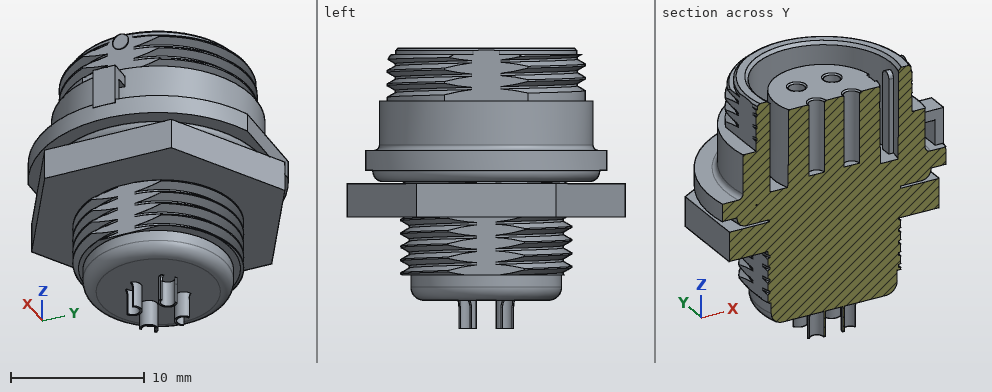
import cadquery as cq
import math

CAP_BOTTOM_Z = 2.12
REAR_THREAD_BOTTOM_Z = 4.0
NUT_BOTTOM_Z = 8.35
SHOULDER_BOTTOM_Z = 11.0
FLANGE_BOTTOM_Z = 11.85
FLANGE_TOP_Z = 13.35
NECK_TOP_Z = 17.05
INSERT_TOP_Z = 19.85
TOP_Z = 21.0

CAP_DIAMETER = 11.3
CAP_FILLET = 1.0

NUT_THICKNESS = 2.5
NUT_CORNER_DIAMETER = 20.84
NUT_SIDES = 6

SHOULDER_DIAMETER = 17.0
SHOULDER_FILLET = 0.8
FLANGE_DIAMETER = 19.5
FLANGE_FLATS_WIDTH = 18.05
NECK_DIAMETER = 16.0
NECK_FILLET = 0.4

THREAD_PITCH = 1.0
GROOVE_ROOT_WIDTH = 0.17
FLANK_ANGLE = 30
FLANK_SLOPE = math.tan(math.radians(FLANK_ANGLE))
GROOVE_OVERCUT = 0.05
REAR_THREAD_DIAMETER = 12.8
REAR_ROOT_DIAMETER = 11.54
REAR_FLATS_WIDTH = 11.45
REAR_GROOVE_START_Z = 3.38
FRONT_THREAD_DIAMETER = 14.85
FRONT_ROOT_DIAMETER = 13.64
FRONT_RELIEF_DIAMETER = 13.6
FRONT_FLATS_WIDTH = 13.46
FRONT_GROOVE_START_Z = 17.5
FRONT_RELIEF_BOTTOM_Z = 20.53
FRONT_CREST_END_DIAMETER = 14.3
FRONT_CHAMFER = 0.2

SOCKET_DIAMETER = 11.4
SOCKET_MOUTH_DIAMETER = 11.9
SOCKET_FLOOR_Z = FLANGE_TOP_Z
INSERT_DIAMETER = 8.6
INSERT_TOP_DIAMETER = 8.46
INSERT_NOTCH_WIDTH = 1.2
INSERT_NOTCH_DEPTH = 0.3
INSERT_NOTCH_HEIGHT = 1.0

KEY_WIDTH = 0.96
KEY_HEIGHT = 0.42
KEY_TOP_Z = 20.1

MARK_DIAMETER = 1.3
MARK_HEIGHT = 0.07

CONTACT_OFFSET = 1.51
CONTACT_DIAMETER = 1.3
CONTACT_MOUTH_DIAMETER = 1.54
CONTACT_MOUTH_ANGLE = 90
CONTACT_DEPTH = 6.0
CUP_OFFSET = 1.44
CUP_DIAMETER = 1.4
CUP_BORE_DIAMETER = 1.1
CUP_OPENING_OFFSET = 0.2
CUP_OPENING_STRAIGHT = 1.6
CUP_OPENING_END_DIAMETER = 2.2

HOOK_WIDTH = 1.84
HOOK_TOP_Z = 16.35
HOOK_ARM_HEIGHT = 0.88
HOOK_POST_THICKNESS = 0.73

OVERLAP = 0.3


def cylinder(diameter, bottom_z, top_z):
    """Upright cylinder on the Z axis."""
    return cq.Workplane("XY").workplane(offset=bottom_z).circle(diameter / 2).extrude(top_z - bottom_z)


def box(x_range, y_width, z_range):
    """Block between two X and two Z positions, centred on Y = 0."""
    length = x_range[1] - x_range[0]
    height = z_range[1] - z_range[0]
    block = cq.Workplane("XY").box(length, y_width, height, centered=(False, True, False))
    return block.translate((x_range[0], 0, z_range[0]))


def helical_groove(thread_diameter, root_diameter, start_z, turns):
    """Right-handed V groove cutter that starts on the +X side."""
    root_radius = root_diameter / 2
    outer_radius = thread_diameter / 2 + GROOVE_OVERCUT
    root_half = GROOVE_ROOT_WIDTH / 2
    outer_half = root_half + (outer_radius - root_radius) * FLANK_SLOPE
    path = cq.Wire.makeHelix(THREAD_PITCH, turns * THREAD_PITCH, root_radius)
    profile = cq.Workplane("XZ").polyline([
        (root_radius, -root_half),
        (outer_radius, -outer_half),
        (outer_radius, outer_half),
        (root_radius, root_half),
    ]).close()
    return profile.sweep(cq.Workplane(obj=path), isFrenet=True).translate((0, 0, start_z))


def threaded_rod(thread_diameter, root_diameter, groove_start_z, bottom_z, top_z):
    """Rod between two heights, cut from a longer blank so that the groove ends lie inside the blank."""
    turns = math.ceil((top_z - groove_start_z) / THREAD_PITCH) + 1
    blank_bottom = min(bottom_z, groove_start_z) - 2 * THREAD_PITCH
    blank_top = groove_start_z + (turns + 2) * THREAD_PITCH
    blank = cylinder(thread_diameter, blank_bottom, blank_top)
    groove = helical_groove(thread_diameter, root_diameter, groove_start_z, turns)
    slab = box((-thread_diameter, thread_diameter), 2 * thread_diameter, (bottom_z, top_z))
    return blank.cut(groove).intersect(slab)


def rear_thread():
    bottom, top = REAR_THREAD_BOTTOM_Z, SHOULDER_BOTTOM_Z
    rod = threaded_rod(REAR_THREAD_DIAMETER, REAR_ROOT_DIAMETER, REAR_GROOVE_START_Z, bottom, top)
    half_width = REAR_FLATS_WIDTH / 2
    return rod.intersect(box((-half_width, half_width), REAR_THREAD_DIAMETER, (bottom, top)))


def crest_cone():
    """Cone that bevels the crest at the front end of the front thread."""
    height = FRONT_RELIEF_BOTTOM_Z - NECK_TOP_Z
    base_radius = FRONT_CREST_END_DIAMETER / 2 + height * FLANK_SLOPE
    base = cq.Workplane("XY").workplane(offset=NECK_TOP_Z).circle(base_radius)
    return base.extrude(height, taper=FLANK_ANGLE)


def front_thread():
    rod = threaded_rod(
        FRONT_THREAD_DIAMETER,
        FRONT_ROOT_DIAMETER,
        FRONT_GROOVE_START_Z,
        NECK_TOP_Z,
        FRONT_RELIEF_BOTTOM_Z,
    )
    rod = rod.intersect(crest_cone())
    core = cylinder(FRONT_RELIEF_DIAMETER, NECK_TOP_Z, TOP_Z).faces(">Z").chamfer(FRONT_CHAMFER)
    half_width = FRONT_FLATS_WIDTH / 2
    flats = box((-half_width, half_width), FRONT_THREAD_DIAMETER, (NECK_TOP_Z, TOP_Z))
    mark = (
        cq.Workplane("YZ", origin=(half_width - OVERLAP, 0, TOP_Z - MARK_DIAMETER / 2))
        .circle(MARK_DIAMETER / 2)
        .extrude(OVERLAP + MARK_HEIGHT)
    )
    return rod.union(core).intersect(flats).union(mark)


def rear_cap():
    cap = cylinder(CAP_DIAMETER, CAP_BOTTOM_Z, REAR_THREAD_BOTTOM_Z)
    return cap.faces("<Z").edges().fillet(CAP_FILLET)


def nut():
    hexagon = cq.Workplane("XY").workplane(offset=NUT_BOTTOM_Z).polygon(NUT_SIDES, NUT_CORNER_DIAMETER)
    return hexagon.extrude(NUT_THICKNESS).rotate((0, 0, 0), (0, 0, 1), 180 / NUT_SIDES)


def flange_and_neck():
    shoulder = cylinder(SHOULDER_DIAMETER, SHOULDER_BOTTOM_Z, FLANGE_TOP_Z)
    shoulder = shoulder.faces("<Z").edges().fillet(SHOULDER_FILLET)
    flats = box(
        (-FLANGE_DIAMETER / 2, FLANGE_DIAMETER / 2),
        FLANGE_FLATS_WIDTH,
        (FLANGE_BOTTOM_Z, FLANGE_TOP_Z),
    )
    flange = cylinder(FLANGE_DIAMETER, FLANGE_BOTTOM_Z, FLANGE_TOP_Z).intersect(flats)
    neck_radius = NECK_DIAMETER / 2
    neck = (
        cq.Workplane("XZ")
        .moveTo(0, FLANGE_TOP_Z)
        .lineTo(neck_radius + NECK_FILLET, FLANGE_TOP_Z)
        .radiusArc((neck_radius, FLANGE_TOP_Z + NECK_FILLET), NECK_FILLET)
        .lineTo(neck_radius, NECK_TOP_Z)
        .lineTo(0, NECK_TOP_Z)
        .close()
        .revolve(360, (0, 0), (0, 1))
    )
    return shoulder.union(flange).union(neck)


def hook():
    outer_x = FLANGE_DIAMETER / 2
    arm = box(
        (NECK_DIAMETER / 2 - OVERLAP, outer_x),
        HOOK_WIDTH,
        (HOOK_TOP_Z - HOOK_ARM_HEIGHT, HOOK_TOP_Z),
    )
    post = box((outer_x - HOOK_POST_THICKNESS, outer_x), HOOK_WIDTH, (FLANGE_TOP_Z - OVERLAP, HOOK_TOP_Z))
    return arm.union(post)


def socket():
    """Cutter for the blind bore with its 45 degree mouth chamfer."""
    bore_radius = SOCKET_DIAMETER / 2
    mouth_radius = SOCKET_MOUTH_DIAMETER / 2
    return (
        cq.Workplane("XZ")
        .moveTo(0, SOCKET_FLOOR_Z)
        .lineTo(bore_radius, SOCKET_FLOOR_Z)
        .lineTo(bore_radius, TOP_Z - (mouth_radius - bore_radius))
        .lineTo(mouth_radius, TOP_Z)
        .lineTo(0, TOP_Z)
        .close()
        .revolve(360, (0, 0), (0, 1))
    )


def square_points(offset):
    return [(x, y) for x in (-offset, offset) for y in (-offset, offset)]


def insert():
    """Slightly tapered contact carrier with a notch in its top edge on the +X side."""
    radius = INSERT_DIAMETER / 2
    height = INSERT_TOP_Z - SOCKET_FLOOR_Z
    draft = math.degrees(math.atan((radius - INSERT_TOP_DIAMETER / 2) / height))
    body = cq.Workplane("XY").workplane(offset=SOCKET_FLOOR_Z).circle(radius).extrude(height, taper=draft)
    notch = box(
        (radius - INSERT_NOTCH_DEPTH, radius),
        INSERT_NOTCH_WIDTH,
        (INSERT_TOP_Z - INSERT_NOTCH_HEIGHT, INSERT_TOP_Z),
    )
    top = body.cut(notch).faces(">Z").workplane(origin=(0, 0, INSERT_TOP_Z))
    holes = top.pushPoints(square_points(CONTACT_OFFSET))
    return holes.cskHole(CONTACT_DIAMETER, CONTACT_MOUTH_DIAMETER, CONTACT_MOUTH_ANGLE, CONTACT_DEPTH)


def key():
    radius = KEY_WIDTH / 2
    inner_x = SOCKET_DIAMETER / 2 - KEY_HEIGHT
    outer_x = SOCKET_DIAMETER / 2 + OVERLAP
    shoulder_z = KEY_TOP_Z - radius
    return (
        cq.Workplane("YZ")
        .workplane(offset=inner_x)
        .moveTo(-radius, SOCKET_FLOOR_Z)
        .lineTo(-radius, shoulder_z)
        .threePointArc((0, KEY_TOP_Z), (radius, shoulder_z))
        .lineTo(radius, SOCKET_FLOOR_Z)
        .close()
        .extrude(outer_x - inner_x)
    )


def solder_cup(x, y):
    """Hollow pin, open on the side facing away from the Z axis, where the opening runs out in an arc."""
    pin = cylinder(CUP_DIAMETER, 0, CAP_BOTTOM_Z + OVERLAP)
    bore = cylinder(CUP_BORE_DIAMETER, 0, CAP_BOTTOM_Z)
    end_radius = CUP_OPENING_END_DIAMETER / 2
    end_x = CUP_OPENING_OFFSET + end_radius
    opening = (
        cq.Workplane("XZ")
        .moveTo(CUP_OPENING_OFFSET, 0)
        .lineTo(CUP_OPENING_OFFSET, CUP_OPENING_STRAIGHT)
        .radiusArc((end_x, CUP_OPENING_STRAIGHT + end_radius), end_radius)
        .lineTo(end_x, 0)
        .close()
        .extrude(CUP_DIAMETER / 2, both=True)
    )
    outward_angle = math.degrees(math.atan2(y, x))
    cup = pin.cut(bore).cut(opening).rotate((0, 0, 0), (0, 0, 1), outward_angle)
    return cup.translate((x, y, 0))


shell = flange_and_neck().union(front_thread()).union(hook()).cut(socket())
result = shell.union(rear_thread()).union(rear_cap()).union(nut()).union(insert()).union(key())
for cup_x, cup_y in square_points(CUP_OFFSET):
    result = result.union(solder_cup(cup_x, cup_y))